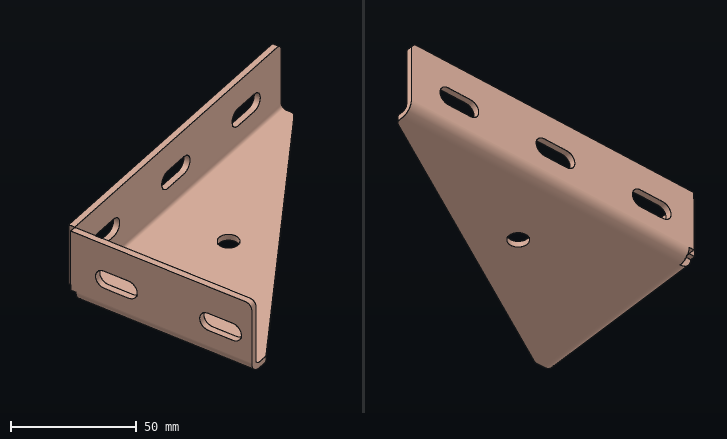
import cadquery as cq
import math

WIDTH = 90.0
DEPTH = 150.0
HEIGHT = 35.0

THICKNESS = 3.0
INNER_BEND_RADIUS = 2.55
OUTER_BEND_RADIUS = INNER_BEND_RADIUS + THICKNESS

SLOPE_ANGLE = 60.0
SLOPE_END_Y = 10.0
SLOPE_END_X = WIDTH - (DEPTH - SLOPE_END_Y) / math.tan(math.radians(SLOPE_ANGLE))
PLATE_CORNER_RADIUS = 3.0
HOLE_DIAMETER = 9.0
HOLE_X = 35.0
HOLE_Y = 65.0

CORNER_GAP = 0.05
FLANGE_CORNER_RADIUS = 3.0
SLOT_LENGTH = 20.0
SLOT_WIDTH = 8.5
SLOT_HEIGHT = HEIGHT / 2
FIRST_SLOT = 25.0
SLOT_PITCH = 50.0
FRONT_SLOT_COUNT = 2
SIDE_SLOT_COUNT = 3


def make_base_plate():
    """Flat plate, bounded by the two bend lines and the sloping edge."""
    plate = (
        cq.Workplane("XY")
        .moveTo(OUTER_BEND_RADIUS, OUTER_BEND_RADIUS)
        .lineTo(WIDTH, OUTER_BEND_RADIUS)
        .lineTo(WIDTH, SLOPE_END_Y)
        .lineTo(SLOPE_END_X, DEPTH)
        .lineTo(OUTER_BEND_RADIUS, DEPTH)
        .close()
        .extrude(THICKNESS)
    )
    for corner in ((WIDTH, SLOPE_END_Y), (SLOPE_END_X, DEPTH)):
        plate = plate.edges("|Z").edges(cq.NearestToPointSelector((*corner, THICKNESS / 2)))
        plate = plate.fillet(PLATE_CORNER_RADIUS)
    hole = cq.Workplane("XY").center(HOLE_X, HOLE_Y).circle(HOLE_DIAMETER / 2).extrude(THICKNESS)
    return plate.cut(hole)


def make_bend(length):
    """Quarter-round bend along +X, its outer face touching Y = 0 and Z = 0."""
    ring = (
        cq.Workplane("YZ", origin=(OUTER_BEND_RADIUS, 0, 0))
        .center(OUTER_BEND_RADIUS, OUTER_BEND_RADIUS)
        .circle(OUTER_BEND_RADIUS)
        .circle(INNER_BEND_RADIUS)
        .extrude(length - OUTER_BEND_RADIUS)
    )
    quarter = cq.Workplane("XY").box(length, OUTER_BEND_RADIUS, OUTER_BEND_RADIUS, centered=False)
    return ring.intersect(quarter)


def make_flange(length, slot_count):
    """Slotted upright wall and its bend, running along +X with the outer face on Y = 0."""
    wall_start = THICKNESS + CORNER_GAP
    wall = (
        cq.Workplane("XY", origin=(wall_start, 0, OUTER_BEND_RADIUS))
        .box(length - wall_start, THICKNESS, HEIGHT - OUTER_BEND_RADIUS, centered=False)
        .edges("|Y and >X and >Z")
        .fillet(FLANGE_CORNER_RADIUS)
    )
    slot_centres = [(FIRST_SLOT + i * SLOT_PITCH, SLOT_HEIGHT) for i in range(slot_count)]
    slots = (
        cq.Workplane("XZ")
        .pushPoints(slot_centres)
        .slot2D(SLOT_LENGTH, SLOT_WIDTH)
        .extrude(-THICKNESS)
    )
    return wall.cut(slots).union(make_bend(length))


def swap_x_and_y(body):
    """Turn a flange along X into its mirror-image flange along Y."""
    return body.mirror("YZ").rotate((0, 0, 0), (0, 0, 1), -90)


front_flange = make_flange(WIDTH, FRONT_SLOT_COUNT)
side_flange = swap_x_and_y(make_flange(DEPTH, SIDE_SLOT_COUNT))
result = make_base_plate().union(front_flange).union(side_flange)